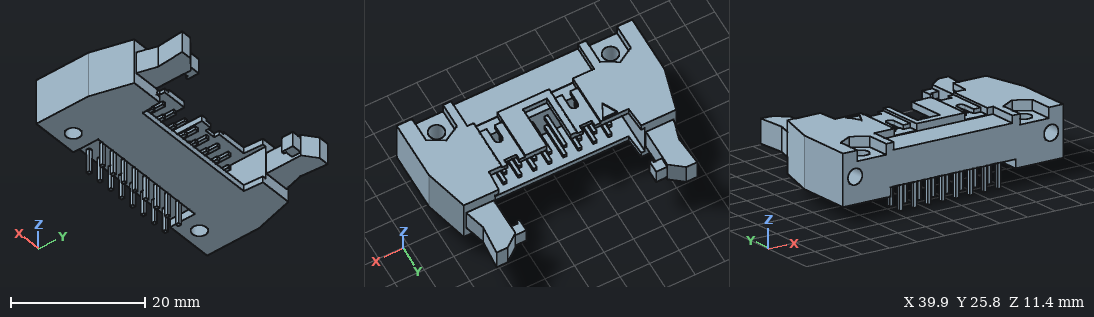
import cadquery as cq
import math


length = 39.9
height = 8.45
straight_side = 10.05
tower_end = 17.3
tower_outer = 18.0
tower_inner = 12.05
tower_root = 11.8
mating_face = 13.8
mid_z = height / 2

wall = 1.15
cavity_half = 12.7
cavity_floor = 7.45
cavity_top = height - wall

pitch = 2.538
columns = 8
pin_size = 0.6
pin_tip = 13.45
tail_length = 2.95
near_tail_y = 1.08

relief_half = 11.3
relief_height = 1.48
relief_depth = 4.8

step_half = 10.75
step_depth_y = 5.05
step_drop = 1.2
track_spread = 6.4
track_xs = (pitch / 2 - track_spread, pitch / 2 + track_spread)
track_width = 4.0
track_drop = 0.4
track_low_end = 6.65
track_low_drop = 1.08
slot_width = 1.35
slot_end = 9.65
notch_width = 2.0
notch_start = 12.8

key_width = 4.05
key_start = 6.4
mark_x = -3.5 * pitch
mark_half = 1.25
mark_base = 13.45
mark_point = 11.05
mark_depth = 0.2

mount_x = 14.72
mount_y = 2.85
hole_diameter = 2.6
nut_flats = 5.23
nut_depth = 1.7
front_hole_x = 17.75
front_hole_z = 4.4
front_hole_depth = 6.0

latch_z = 4.2
latch_height = 4.0
latch_inner = 12.85
latch_tip = 25.75
latch_tip_inner = 15.12
latch_tip_outer = 17.0
latch_waist_x = 16.6
latch_waist_y = 20.8
latch_root_outer = 17.55
latch_root = 15.95
hook_top = 23.98
hook_bottom = 22.25
hook_inner = 10.97
hook_height = 2.8
lip_width = 0.5
lip_end = 21.83


def box(x_min, x_max, y_min, y_max, z_min, z_max):
    size = (x_max - x_min, y_max - y_min, z_max - z_min)
    return cq.Workplane("XY").box(*size, centered=False).translate((x_min, y_min, z_min))


def extrude_outline(points, z_min, z_max):
    return cq.Workplane("XY").workplane(offset=z_min).polyline(points).close().extrude(z_max - z_min)


def body_block():
    right_half = [
        (length / 2, 0),
        (length / 2, straight_side),
        (tower_outer, tower_end),
        (tower_inner, tower_end),
        (tower_root, mating_face),
    ]
    left_half = [(-x, y) for x, y in reversed(right_half)]
    block = extrude_outline(right_half + left_half, 0, height)
    cavity = box(-cavity_half, cavity_half, cavity_floor, tower_end, wall, cavity_top)
    relief = box(-relief_half, relief_half, 0, relief_depth, 0, relief_height)
    step = box(-step_half, step_half, 0, step_depth_y, height - step_drop, height)
    return block.cut(cavity).cut(relief).cut(step)


def track_cut(x):
    """Recess across the top wall with a round-ended slot and a notch in its mating edge."""
    left = x - track_width / 2
    right = x + track_width / 2
    low_z = height - track_low_drop
    recess = box(left, right, step_depth_y, mating_face, height - track_drop, height)
    low_part = box(left, right, step_depth_y, track_low_end, low_z, height)

    radius = slot_width / 2
    arc_y = slot_end - radius
    slot = box(x - radius, x + radius, track_low_end, arc_y, low_z, height)
    opening = box(x - radius, x + radius, cavity_floor, arc_y, cavity_top, height)
    round_end = (
        cq.Workplane("XY").workplane(offset=cavity_top).center(x, arc_y).circle(radius).extrude(wall)
    )
    half_notch = notch_width / 2
    notch = box(x - half_notch, x + half_notch, notch_start, mating_face, cavity_top, height)
    return recess.union(low_part).union(slot).union(opening).union(round_end).union(notch)


def key_cut():
    return box(-key_width / 2, key_width / 2, key_start, mating_face, cavity_top, height)


def pin_mark_cut():
    triangle = [(mark_x - mark_half, mark_base), (mark_x + mark_half, mark_base), (mark_x, mark_point)]
    return extrude_outline(triangle, height - mark_depth, height)


def mounting_cut(side):
    """Through hole, nut pocket open to the front, and blind front hole on one side."""
    x = side * mount_x
    half_flats = nut_flats / 2
    corner_radius = nut_flats / math.sqrt(3)
    shoulder_y = mount_y + corner_radius / 2
    pocket = extrude_outline(
        [
            (x - half_flats, 0),
            (x + half_flats, 0),
            (x + half_flats, shoulder_y),
            (x, mount_y + corner_radius),
            (x - half_flats, shoulder_y),
        ],
        height - nut_depth,
        height,
    )
    hole = cq.Workplane("XY").center(x, mount_y).circle(hole_diameter / 2).extrude(height)
    front_hole = (
        cq.Workplane("XZ")
        .center(side * front_hole_x, front_hole_z)
        .circle(hole_diameter / 2)
        .extrude(-front_hole_depth)
    )
    return pocket.union(hole).union(front_hole)


def pin(x, row):
    """Bent pin: row 0 is the lower row with the near tail, row 1 the upper row."""
    half = pin_size / 2
    z = mid_z + (row - 0.5) * pitch
    tail_y = near_tail_y + row * pitch
    contact = box(x - half, x + half, tail_y - half, pin_tip, z - half, z + half)
    tail = box(x - half, x + half, tail_y - half, tail_y + half, -tail_length, z + half)
    return contact.union(tail)


def right_latch():
    lever = extrude_outline(
        [
            (latch_inner, latch_root),
            (latch_inner, hook_top),
            (latch_tip_inner, latch_tip),
            (latch_tip_outer, latch_tip),
            (latch_waist_x, latch_waist_y),
            (latch_root_outer, tower_end),
            (latch_root_outer, latch_root),
        ],
        latch_z - latch_height / 2,
        latch_z + latch_height / 2,
    )
    hook = extrude_outline(
        [
            (latch_inner, hook_top),
            (hook_inner, hook_top),
            (hook_inner, lip_end),
            (hook_inner + lip_width, lip_end),
            (hook_inner + lip_width, hook_bottom),
            (latch_inner, hook_bottom),
        ],
        latch_z - hook_height / 2,
        latch_z + hook_height / 2,
    )
    return lever.union(hook)


result = body_block().cut(key_cut()).cut(pin_mark_cut())
for track_x in track_xs:
    result = result.cut(track_cut(track_x))
for side in (-1, 1):
    result = result.cut(mounting_cut(side))

for column in range(columns):
    pin_x = (column - (columns - 1) / 2) * pitch
    for row in (0, 1):
        result = result.union(pin(pin_x, row))

latch = right_latch()
result = result.union(latch).union(latch.mirror("YZ"))